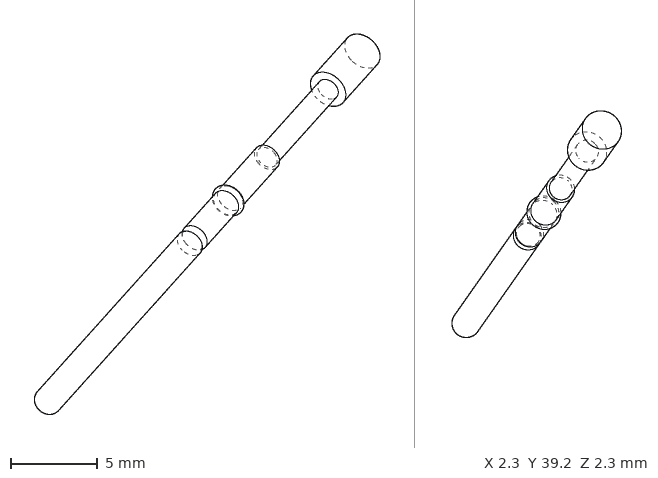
import cadquery as cq

TOTAL_LENGTH = 39.2
HEAD_DIAMETER = 2.3
HEAD_LENGTH = 4.25
SHAFT_DIAMETER = 1.35
SHAFT_LENGTH = 7.53

BARREL_DIAMETER = 1.65
TAIL_RADIUS = 0.45
COLLAR_DIAMETER = 2.0
COLLAR_WIDTH = 0.5
COLLAR_SETBACK = 4.8
GROOVE_WIDTH = 0.6
GROOVE_DEPTH = 0.1
GROOVE_SETBACK = 9.2

HEAD_END = TOTAL_LENGTH / 2
SHOULDER = HEAD_END - HEAD_LENGTH
MOUTH = SHOULDER - SHAFT_LENGTH
TAIL_END = -TOTAL_LENGTH / 2
COLLAR_MIDDLE = MOUTH - COLLAR_SETBACK
GROOVE_MIDDLE = MOUTH - GROOVE_SETBACK


def spin(profile):
    """Turn a closed half profile, drawn in the YZ plane, a full turn around the Y axis."""
    return profile.close().revolve(360, (0, 0, 0), (1, 0, 0))


def make_plunger():
    """Slim shaft with a cylindrical contact head, seated on the barrel mouth."""
    head_radius = HEAD_DIAMETER / 2
    shaft_radius = SHAFT_DIAMETER / 2
    profile = (
        cq.Workplane("YZ")
        .moveTo(MOUTH, 0)
        .lineTo(MOUTH, shaft_radius)
        .lineTo(SHOULDER, shaft_radius)
        .lineTo(SHOULDER, head_radius)
        .lineTo(HEAD_END, head_radius)
        .lineTo(HEAD_END, 0)
    )
    return spin(profile)


def make_barrel():
    """Round barrel with a rounded tail, a round crimp groove and a bulged press collar."""
    radius = BARREL_DIAMETER / 2
    profile = (
        cq.Workplane("YZ")
        .moveTo(TAIL_END, 0)
        .lineTo(TAIL_END, radius - TAIL_RADIUS)
        .radiusArc((TAIL_END + TAIL_RADIUS, radius), TAIL_RADIUS)
        .lineTo(GROOVE_MIDDLE - GROOVE_WIDTH / 2, radius)
        .threePointArc((GROOVE_MIDDLE, radius - GROOVE_DEPTH), (GROOVE_MIDDLE + GROOVE_WIDTH / 2, radius))
        .lineTo(COLLAR_MIDDLE - COLLAR_WIDTH / 2, radius)
        .threePointArc((COLLAR_MIDDLE, COLLAR_DIAMETER / 2), (COLLAR_MIDDLE + COLLAR_WIDTH / 2, radius))
        .lineTo(MOUTH, radius)
        .lineTo(MOUTH, 0)
    )
    return spin(profile)


plunger = make_plunger()
barrel = make_barrel()
result = cq.Compound.makeCompound([plunger.val(), barrel.val()])